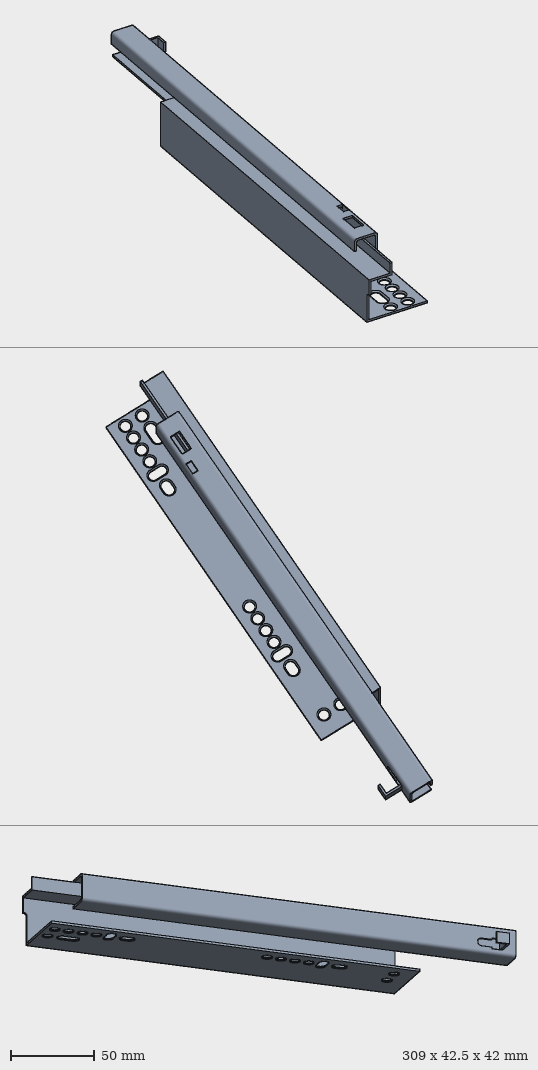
import cadquery as cq

SHEET = 1.48

RAIL_START = 69.2
RAIL_END = 309.0
RAIL_DEPTH = 42.5
SHELF_TOP = 31.2
LIP_TOP = 38.3
LIP_BACK = 16.5
RELIEF_LENGTH = 2.5
RELIEF_TOP = 20.5
RELIEF_RADIUS = 2.2

HOLE_DIAMETER = 6.5
COUNTERSINK_WIDTH = 1.0
COUNTERSINK_DEPTH = 1.0
HOLE_PITCH = 9.0
BACK_ROW_Y = 32.5
ROW_SPACING = 12.0
SINGLE_HOLE_X = 82.0
GROUP_START_X = 137.0
GROUP_SPACING = 137.0
HOLES_PER_GROUP = 4
LONG_SLOT_OFFSET = 19.8
LONG_SLOT_LENGTH = 9.5
CROSS_SLOT_OFFSET = 8.5
CROSS_SLOT_LENGTH = 12.0
CROSS_SLOT_WIDTH = 6.0
FRONT_SLOT_X = 287.5
FRONT_SLOT_LENGTH = 14.2

SLIDE_LENGTH = 279.5
SLIDE_FRONT = 7.7
SLIDE_BACK = 24.0
SLIDE_BOTTOM = 24.0
SLIDE_TOP = 42.0
FRONT_LIP_BOTTOM = 33.5
FLOOR_FRONT = 8.5
BEND_OUTER_RADIUS = 2.2
BEND_INNER_RADIUS = 1.5

HOOK_START = 8.5
HOOK_END = 17.0
HOOK_BACK = 35.8
HOOK_BOTTOM = 27.8
HOOK_TOP = 34.5
WINDOW_END = 15.5
SLOT_END = 24.7
SLOT_HEIGHT = 5.0

TOP_OPENINGS = [
    (241.5, 249.0, 19.0, SLIDE_BACK - SHEET),
    (255.5, 268.5, 14.5, 21.0),
]


def block(x_range, y_range, z_range):
    """Axis-aligned box between the given limits."""
    sizes = [high - low for low, high in (x_range, y_range, z_range)]
    corner = (x_range[0], y_range[0], z_range[0])
    return cq.Workplane("XY").box(*sizes, centered=False).translate(corner)


def countersunk_slot(x, y, length, width, angle=0):
    """Cutter for a hole or slot through the base flange with a countersunk top edge."""

    def outline(plane, growth):
        if length > width:
            return plane.slot2D(length + growth, width + growth, angle)
        return plane.circle((width + growth) / 2)

    growth = 2 * COUNTERSINK_WIDTH
    base = cq.Workplane("XY", origin=(x, y, 0))
    through = outline(base, 0).extrude(SHEET)
    mouth = cq.Workplane("XY", origin=(x, y, SHEET - COUNTERSINK_DEPTH))
    cone = outline(outline(mouth, 0).workplane(offset=COUNTERSINK_DEPTH), growth).loft(ruled=True)
    return through.union(cone)


def round_hole(x, y):
    return countersunk_slot(x, y, HOLE_DIAMETER, HOLE_DIAMETER)


def mounting_holes():
    """Cutters for every hole and slot in the base flange."""
    front_row_y = BACK_ROW_Y - ROW_SPACING
    last_hole_x = GROUP_START_X + GROUP_SPACING + (HOLES_PER_GROUP - 1) * HOLE_PITCH
    cutters = [
        round_hole(SINGLE_HOLE_X, BACK_ROW_Y),
        round_hole(SINGLE_HOLE_X, front_row_y),
        round_hole(last_hole_x, front_row_y),
        countersunk_slot(FRONT_SLOT_X, front_row_y, FRONT_SLOT_LENGTH, HOLE_DIAMETER),
    ]
    for first_x in (GROUP_START_X, GROUP_START_X + GROUP_SPACING):
        long_slot_x = first_x - LONG_SLOT_OFFSET
        cross_slot_x = first_x - CROSS_SLOT_OFFSET
        cutters.append(countersunk_slot(long_slot_x, BACK_ROW_Y, LONG_SLOT_LENGTH, HOLE_DIAMETER))
        cutters.append(
            countersunk_slot(cross_slot_x, BACK_ROW_Y, CROSS_SLOT_LENGTH, CROSS_SLOT_WIDTH, angle=90)
        )
        for index in range(HOLES_PER_GROUP):
            cutters.append(round_hole(first_x + index * HOLE_PITCH, BACK_ROW_Y))
    return cutters


def make_rail():
    outline = [
        (0, 0),
        (RAIL_DEPTH, 0),
        (RAIL_DEPTH, SHEET),
        (SHEET, SHEET),
        (SHEET, SHELF_TOP - SHEET),
        (LIP_BACK, SHELF_TOP - SHEET),
        (LIP_BACK, LIP_TOP),
        (LIP_BACK - SHEET, LIP_TOP),
        (LIP_BACK - SHEET, SHELF_TOP),
        (0, SHELF_TOP),
    ]
    profile = cq.Workplane("YZ", origin=(RAIL_START, 0, 0)).polyline(outline).close()
    rail = profile.extrude(RAIL_END - RAIL_START)

    relief = block((RAIL_END - RELIEF_LENGTH, RAIL_END), (0, RAIL_DEPTH), (0, RELIEF_TOP))
    relief = relief.edges("|Y and <X and >Z").fillet(RELIEF_RADIUS)
    rail = rail.cut(relief)

    for cutter in mounting_holes():
        rail = rail.cut(cutter)
    return rail


def make_channel():
    """Plain C-shaped channel with rounded bends."""
    outline = [
        (FLOOR_FRONT, SLIDE_BOTTOM),
        (SLIDE_BACK, SLIDE_BOTTOM),
        (SLIDE_BACK, SLIDE_TOP),
        (SLIDE_FRONT, SLIDE_TOP),
        (SLIDE_FRONT, FRONT_LIP_BOTTOM),
        (SLIDE_FRONT + SHEET, FRONT_LIP_BOTTOM),
        (SLIDE_FRONT + SHEET, SLIDE_TOP - SHEET),
        (SLIDE_BACK - SHEET, SLIDE_TOP - SHEET),
        (SLIDE_BACK - SHEET, SLIDE_BOTTOM + SHEET),
        (FLOOR_FRONT, SLIDE_BOTTOM + SHEET),
    ]
    channel = cq.Workplane("YZ").polyline(outline).close().extrude(SLIDE_LENGTH)
    outer_bends = [outline[1], outline[2], outline[3]]
    inner_bends = [outline[6], outline[7], outline[8]]
    for bends, radius in ((outer_bends, BEND_OUTER_RADIUS), (inner_bends, BEND_INNER_RADIUS)):
        for y, z in bends:
            middle = (SLIDE_LENGTH / 2, y, z)
            channel = channel.edges(cq.selectors.NearestToPointSelector(middle)).fillet(radius)
    return channel


def make_hook():
    """L-shaped hook: a plate standing off the back wall and an arm along +X."""
    z_range = (HOOK_BOTTOM, HOOK_TOP)
    plate = block((HOOK_START, HOOK_START + SHEET), (SLIDE_BACK - SHEET, HOOK_BACK), z_range)
    arm = block((HOOK_START, HOOK_END), (HOOK_BACK - SHEET, HOOK_BACK), z_range)
    return plate.union(arm)


def make_window():
    """Cutter through the back wall: a window beside the hook, running into a round-ended slot."""
    wall = (SLIDE_BACK - SHEET, SLIDE_BACK)
    radius = SLOT_HEIGHT / 2
    round_center = SLOT_END - radius
    middle_z = (HOOK_BOTTOM + HOOK_TOP) / 2
    window = block((HOOK_START + SHEET, WINDOW_END), wall, (HOOK_BOTTOM, HOOK_TOP))
    straight = block((WINDOW_END, round_center), wall, (middle_z - radius, middle_z + radius))
    end_plane = cq.Workplane("XZ", origin=(round_center, SLIDE_BACK, middle_z))
    return window.union(straight).union(end_plane.circle(radius).extrude(SHEET))


def make_slide():
    slide = make_channel().cut(make_window()).union(make_hook())
    for first_x, last_x, first_y, last_y in TOP_OPENINGS:
        top_sheet = (SLIDE_TOP - SHEET - BEND_INNER_RADIUS, SLIDE_TOP)
        slide = slide.cut(block((first_x, last_x), (first_y, last_y), top_sheet))
    return slide


rail = make_rail()
slide = make_slide()
result = cq.Compound.makeCompound([rail.val(), slide.val()])